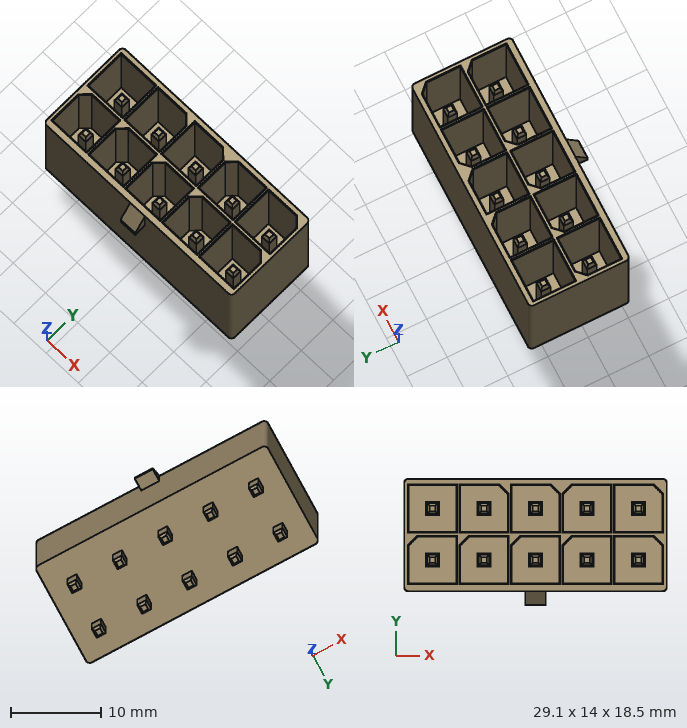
import cadquery as cq
import math

body_width = 29.15
body_depth = 12.48
body_height = 14.8
corner_radius = 0.5

pitch = 5.7
row_shift = 0.1
cell_width = 5.48
cell_depth = 5.35
cell_floor_z = 3.5
key_leg = 1.05
lip = 0.1
chamfer_angle = 45.0

front_row_keys = ["left", "left", "left", "left", "right"]
back_row_keys = ["none", "right", "right", "left", "right"]

pin_size = 1.17
pin_tip_size = 0.65
pin_tip_length = 0.67
pin_drop = 3.7
pin_top_z = 10.5
funnel_margin = 0.17

latch_width = 2.27
latch_reach = 1.55
latch_ramp_drop = 2.55
latch_nose_drop = 3.15
latch_root_drop = 2.97


def square_at(x, y, z, size):
    """Square sketch in a horizontal plane."""
    return cq.Workplane("XY", origin=(x, y, z)).rect(size, size)


def cell_outline(plane, key):
    """Rectangular cell mouth with at most one +Y corner cut off."""
    half_x = cell_width / 2
    half_y = cell_depth / 2
    points = [(-half_x, -half_y), (half_x, -half_y)]
    if key == "right":
        points += [(half_x, half_y - key_leg), (half_x - key_leg, half_y)]
    else:
        points.append((half_x, half_y))
    if key == "left":
        points += [(-half_x + key_leg, half_y), (-half_x, half_y - key_leg)]
    else:
        points.append((-half_x, half_y))
    return plane.polyline(points).close()


def make_cell_cutter(x, y, key):
    """Volume removed for one cell: chamfered mouth, straight walls, funnel at the pin."""
    top = cq.Workplane("XY", origin=(x, y, body_height))
    mouth = cell_outline(top, key).extrude(-lip, taper=chamfer_angle)
    shaft = cell_outline(top, key).offset2D(-lip, "intersection").extrude(cell_floor_z - body_height)
    funnel_size = pin_size + 2 * funnel_margin
    funnel = square_at(x, y, cell_floor_z, funnel_size).extrude(-funnel_margin, taper=chamfer_angle)
    return shaft.union(mouth).union(funnel)


def make_pin(x, y):
    """Square pin tapered at both ends."""
    shank_bottom_z = -pin_drop + pin_tip_length
    shank_top_z = pin_top_z - pin_tip_length
    tip_taper = math.degrees(math.atan2((pin_size - pin_tip_size) / 2, pin_tip_length))
    shank = square_at(x, y, shank_bottom_z, pin_size).extrude(shank_top_z - shank_bottom_z)
    lower_tip = square_at(x, y, shank_bottom_z, pin_size).extrude(-pin_tip_length, taper=tip_taper)
    upper_tip = square_at(x, y, shank_top_z, pin_size).extrude(pin_tip_length, taper=tip_taper)
    return shank.union(lower_tip).union(upper_tip)


def make_latch():
    """Wedge that ramps out from the top edge and hooks back to the wall."""
    wall_y = -body_depth / 2
    nose_y = wall_y - latch_reach
    profile = [
        (wall_y, body_height),
        (nose_y, body_height - latch_ramp_drop),
        (nose_y, body_height - latch_nose_drop),
        (wall_y, body_height - latch_root_drop),
    ]
    return cq.Workplane("YZ").polyline(profile).close().extrude(latch_width / 2, both=True)


housing = (
    cq.Workplane("XY")
    .box(body_width, body_depth, body_height, centered=(True, True, False))
    .edges("|Z")
    .fillet(corner_radius)
)
result = housing.union(make_latch())

rows = [(row_shift - pitch / 2, front_row_keys), (row_shift + pitch / 2, back_row_keys)]
for y, keys in rows:
    for column, key in enumerate(keys):
        x = (column - (len(keys) - 1) / 2) * pitch
        result = result.cut(make_cell_cutter(x, y, key))
        result = result.union(make_pin(x, y))